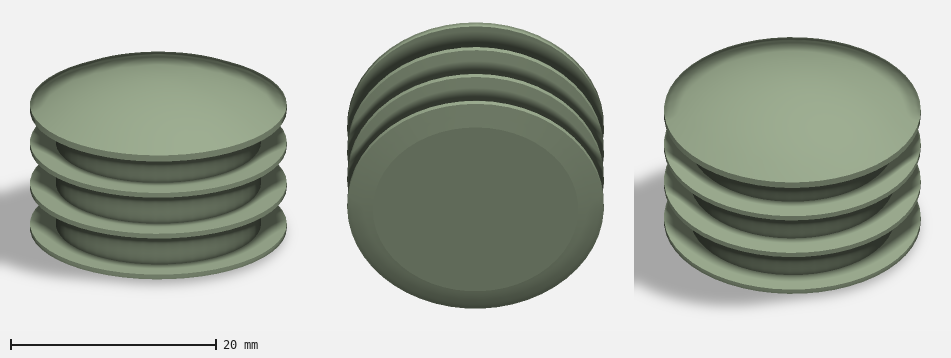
import cadquery as cq
import math

total_height = 17.0
outer_radius = 12.5
core_radius = 10.0

cap_height = 4.0
dome_radius = 25.0

fin_count = 3
fin_taper_height = 0.5
fin_rim_height = 0.5

stem_height = total_height - cap_height
fin_pitch = stem_height / fin_count
dome_height = dome_radius - math.sqrt(dome_radius**2 - outer_radius**2)
cap_rim_height = cap_height - dome_height


def make_core():
    return cq.Workplane("XY").circle(core_radius).extrude(stem_height)


def make_fin(base_z):
    """Revolve one fin whose tapered underside starts at base_z."""
    rim_z = base_z + fin_taper_height
    top_z = rim_z + fin_rim_height
    return (
        cq.Workplane("XZ")
        .moveTo(0, base_z)
        .lineTo(core_radius, base_z)
        .lineTo(outer_radius, rim_z)
        .lineTo(outer_radius, top_z)
        .lineTo(0, top_z)
        .close()
        .revolve(360, (0, 0, 0), (0, 1, 0))
    )


def make_cap():
    """Revolve the straight rim and the spherical dome above it."""
    rim_top_z = stem_height + cap_rim_height
    dome_center_z = total_height - dome_radius
    half_edge_angle = math.asin(outer_radius / dome_radius) / 2
    arc_middle = (
        dome_radius * math.sin(half_edge_angle),
        dome_center_z + dome_radius * math.cos(half_edge_angle),
    )
    return (
        cq.Workplane("XZ")
        .moveTo(0, stem_height)
        .lineTo(outer_radius, stem_height)
        .lineTo(outer_radius, rim_top_z)
        .threePointArc(arc_middle, (0, total_height))
        .close()
        .revolve(360, (0, 0, 0), (0, 1, 0))
    )


result = make_core().union(make_cap())
for fin_index in range(fin_count):
    result = result.union(make_fin(fin_index * fin_pitch))